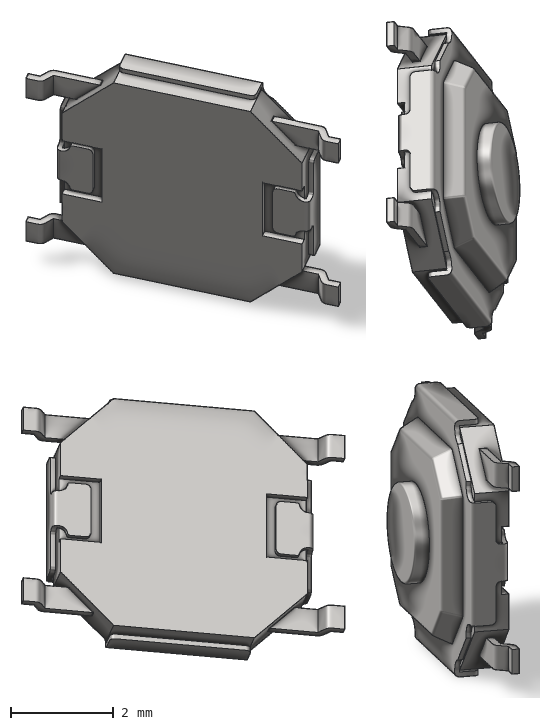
import cadquery as cq
import math


base_half = 2.46
base_flat_half = 1.4
base_height = 0.7
recess_depth = 0.15
recess_half_width = 0.685
recess_inner_x = 1.645

sheet = 0.1
cover_half = 2.6
flap_inner_face = cover_half - sheet
plate_top = base_height + sheet
plate_half = 2.465
flap_bottom = 0.3
flap_corner_radius = 0.1
end_flap_half_width = base_flat_half
side_flap_half_width = 1.25

notch_side_x = 2.215
notch_side_z = 1.49
notch_step = 0.095
plate_diagonal_sum = notch_side_x + notch_side_z + notch_step
notch_end_x = 1.61
notch_end_radius = 0.29

clip_bottom = recess_depth - sheet
neck_half_width = 0.38
neck_fillet = 0.095
pad_tip_x = 1.84
pad_root_x = 2.31
pad_half_width = 0.57
pad_shoulder_radius = 0.05
pad_root_radius = 0.19
pad_tip_radius = 0.1

dome_half = 1.98
dome_flat_half = 1.22
dome_top = 1.2
dome_taper = 26
dome_corner_radius = 0.08
dome_rim_radius = 0.095

button_radius = 1.0
button_top = 1.5
button_edge_radius = 0.05

terminal_tip_x = 3.2
terminal_thickness = 0.155
terminal_width = 0.5
terminal_z = 1.85
terminal_underside = 0.25
terminal_root_x = 1.75
foot_inner_x = 2.96
joggle_inner_x = 2.715


def octagon(half, flat_half, y):
    """Octagonal outline across +-half in X and Z, drawn at height y."""
    return cq.Workplane("XZ", origin=(0, y, 0)).polyline([
        (flat_half, half),
        (half, flat_half),
        (half, -flat_half),
        (flat_half, -half),
        (-flat_half, -half),
        (-half, -flat_half),
        (-half, flat_half),
        (-flat_half, half),
    ]).close()


def block(x_range, y_range, half_width):
    """Box between two X and two Y values, centred on Z = 0."""
    (x0, x1), (y0, y1) = x_range, y_range
    size = (x1 - x0, y1 - y0, 2 * half_width)
    return cq.Workplane("XY").box(*size, centered=(False, False, True)).translate((x0, y0, 0))


def both_sides(body):
    """The body at +X together with its copy turned round to -X."""
    return body.union(turned(body, 180))


def turned(body, angle):
    """The body turned about the Y axis."""
    return body.rotate((0, 0, 0), (0, 1, 0), angle)


def make_terminal(x_sign, z_sign):
    thickness = terminal_thickness
    rise = terminal_underside - thickness
    run = foot_inner_x - joggle_inner_x
    slope = math.atan2(rise, run) + math.asin(thickness / math.hypot(run, rise))

    def outer_point(corner, turn, direction):
        """Point one thickness from an inner corner, after bending by the angle turn."""
        x, y = corner
        return (x - direction * thickness * math.sin(turn), y - direction * thickness * math.cos(turn))

    foot_corner = (foot_inner_x, thickness)
    upper_corner = (joggle_inner_x, terminal_underside)
    profile = (
        cq.Workplane("XY", origin=(0, 0, -terminal_width / 2))
        .moveTo(terminal_tip_x, 0)
        .lineTo(foot_inner_x, 0)
        .threePointArc(outer_point(foot_corner, slope / 2, 1), outer_point(foot_corner, slope, 1))
        .lineTo(*upper_corner)
        .lineTo(terminal_root_x, terminal_underside)
        .lineTo(terminal_root_x, terminal_underside + thickness)
        .lineTo(joggle_inner_x, terminal_underside + thickness)
        .threePointArc(outer_point(upper_corner, slope / 2, -1), outer_point(upper_corner, slope, -1))
        .lineTo(*foot_corner)
        .lineTo(terminal_tip_x, thickness)
        .close()
    )
    terminal = profile.extrude(terminal_width)
    if x_sign < 0:
        terminal = terminal.mirror("YZ")
    return terminal.translate((0, 0, z_sign * terminal_z))


def make_base(terminals):
    base = octagon(base_half, base_flat_half, 0).extrude(-base_height)
    recess = block((recess_inner_x, base_half), (0, recess_depth), recess_half_width)
    base = base.cut(both_sides(recess))
    for terminal in terminals:
        base = base.cut(terminal)
    return base


def make_plate():
    notch_end_z = plate_diagonal_sum - notch_end_x
    quarter = (
        cq.Workplane("XZ", origin=(0, base_height, 0))
        .lineTo(plate_half, 0)
        .lineTo(plate_half, side_flap_half_width)
        .radiusArc((notch_side_x, notch_side_z), plate_half - notch_side_x)
        .lineTo(notch_side_x, notch_side_z + notch_step)
        .lineTo(notch_end_x, notch_end_z)
        .radiusArc((end_flap_half_width, plate_half), notch_end_radius)
        .lineTo(0, plate_half)
        .close()
        .extrude(-sheet)
    )
    half = quarter.union(quarter.mirror("XY"))
    return half.union(half.mirror("YZ"))


def folded_leg(inner_x, half_width):
    """L-section at +X: a strip along the plate, a full-thickness fold and a leg toward the base."""
    return (
        cq.Workplane("XY", origin=(0, 0, -half_width))
        .moveTo(inner_x, plate_top)
        .lineTo(flap_inner_face, plate_top)
        .radiusArc((cover_half, base_height), sheet)
        .lineTo(cover_half, flap_bottom)
        .lineTo(flap_inner_face, flap_bottom)
        .lineTo(flap_inner_face, base_height)
        .lineTo(inner_x, base_height)
        .close()
        .extrude(2 * half_width)
    )


def make_flap(half_width):
    """Flap at +X with rounded free corners."""
    flap = folded_leg(plate_half, half_width)
    return flap.edges("|X and <Y").fillet(flap_corner_radius)


def make_neck():
    """Neck at +X: widens into the flap above and curves in to the pad below."""
    neck = (
        cq.Workplane("XY", origin=(0, 0, -neck_half_width))
        .moveTo(cover_half, flap_bottom)
        .lineTo(cover_half, recess_depth)
        .radiusArc((flap_inner_face, clip_bottom), sheet)
        .lineTo(flap_inner_face, flap_bottom)
        .close()
        .extrude(2 * neck_half_width)
    )
    fillet_y = flap_bottom - neck_fillet
    fillet_z = neck_half_width + neck_fillet
    for side in (-1, 1):
        web = (
            cq.Workplane("YZ", origin=(flap_inner_face, 0, 0))
            .moveTo(flap_bottom, side * neck_half_width)
            .lineTo(fillet_y, side * neck_half_width)
            .radiusArc((flap_bottom, side * fillet_z), -side * neck_fillet)
            .close()
            .extrude(sheet)
        )
        neck = neck.union(web)
    return neck


def make_pad():
    """Pad at +X: flares from the neck width and has rounded corners."""
    half_pad = (
        cq.Workplane("XZ", origin=(0, clip_bottom, 0))
        .moveTo(flap_inner_face, 0)
        .lineTo(flap_inner_face, neck_half_width)
        .radiusArc((pad_root_x, pad_half_width - pad_shoulder_radius), pad_root_radius)
        .radiusArc((pad_root_x - pad_shoulder_radius, pad_half_width), -pad_shoulder_radius)
        .lineTo(pad_tip_x + pad_tip_radius, pad_half_width)
        .radiusArc((pad_tip_x, pad_half_width - pad_tip_radius), -pad_tip_radius)
        .lineTo(pad_tip_x, 0)
        .close()
        .extrude(-sheet)
    )
    return half_pad.union(half_pad.mirror("XY"))


def make_dome():
    height = dome_top - plate_top
    dome = octagon(dome_half, dome_flat_half, plate_top).extrude(-height, taper=dome_taper)
    dome = dome.edges("not #Y").fillet(dome_corner_radius)
    return dome.faces(">Y").edges().fillet(dome_rim_radius)


def make_cover():
    side_flap = make_flap(side_flap_half_width).union(make_neck()).union(make_pad())
    end_flap = turned(make_flap(end_flap_half_width), 90)
    cover = make_plate().union(make_dome())
    return cover.union(both_sides(side_flap)).union(both_sides(end_flap))


def make_button():
    height = button_top - dome_top
    button = cq.Workplane("XZ", origin=(0, dome_top, 0)).circle(button_radius).extrude(-height)
    return button.faces(">Y").edges().fillet(button_edge_radius)


terminals = [make_terminal(x_sign, z_sign) for x_sign in (-1, 1) for z_sign in (-1, 1)]
base = make_base(terminals)
cover = make_cover()
button = make_button()

result = cq.Compound.makeCompound([
    base.val(),
    cover.val(),
    button.val(),
    *[terminal.val() for terminal in terminals],
])